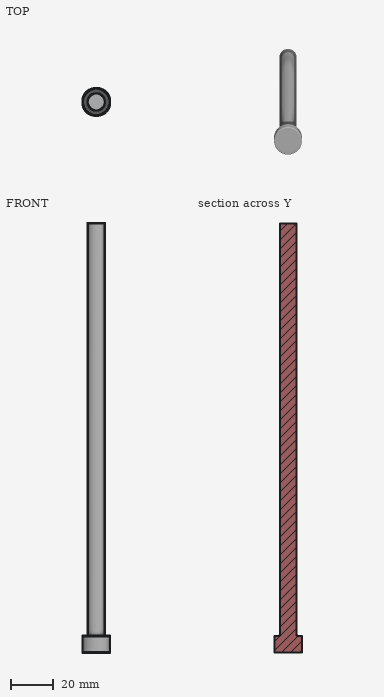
import cadquery as cq

total_length = 200.0
shank_diameter = 8.0
head_diameter = 13.0
head_height = 8.0
head_chamfer = 0.3
neck_fillet_radius = 0.3

shank_radius = shank_diameter / 2
head_radius = head_diameter / 2


def make_head():
    """Head disc with both rims chamfered."""
    head = cq.Workplane("XY").circle(head_radius).extrude(head_height)
    return head.faces("<Z or >Z").edges().chamfer(head_chamfer)


def make_shank():
    """Plain cylindrical shank running the full length of the pin."""
    return cq.Workplane("XY").circle(shank_radius).extrude(total_length)


def round_neck(pin):
    """Fillet the inside corner where the shank meets the head's upper face."""
    upper_face = pin.faces("|Z").faces(">Z[-2]")
    neck_edge = upper_face.edges(cq.selectors.RadiusNthSelector(0))
    return neck_edge.fillet(neck_fillet_radius)


result = round_neck(make_head().union(make_shank()))